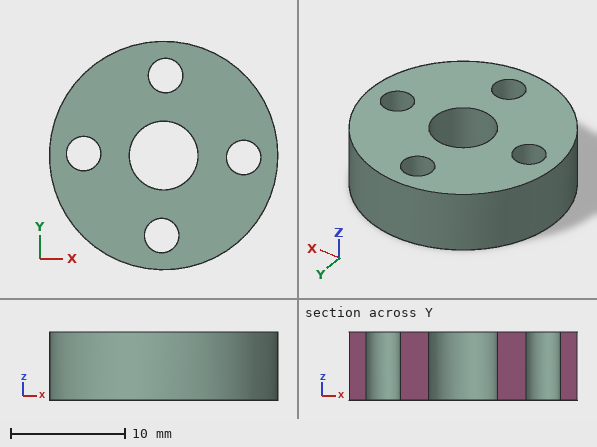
import cadquery as cq

outer_diameter = 20
thickness = 6
bore_diameter = 6
bolt_hole_diameter = 3
bolt_circle_radius = 7
bolt_hole_count = 4
bolt_pattern_angle = -1.4

disc = cq.Workplane("XY").circle(outer_diameter / 2).extrude(thickness)

bored_disc = disc.faces(">Z").workplane().hole(bore_diameter)

result = (
    bored_disc.faces(">Z")
    .workplane()
    .polarArray(bolt_circle_radius, bolt_pattern_angle, 360, bolt_hole_count)
    .hole(bolt_hole_diameter)
)